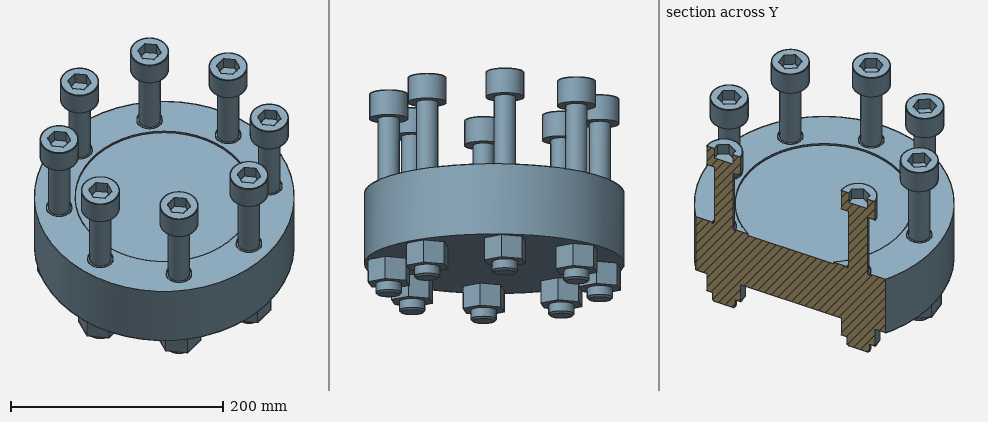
import cadquery as cq
import math

FLANGE_DIAMETER = 245.0
FLANGE_THICKNESS = 68.0
RECESS_DIAMETER = 168.0
RECESS_DEPTH = 2.0

BOLT_COUNT = 8
BOLT_CIRCLE_DIAMETER = 200.0

THREAD_DIAMETER = 24.0
SHANK_DIAMETER = 20.32
SCREW_LENGTH = 170.0
HEAD_DIAMETER = 1.5 * THREAD_DIAMETER
HEAD_HEIGHT = THREAD_DIAMETER
HEAD_CHAMFER = 0.5
SOCKET_ACROSS_FLATS = 19.0
SOCKET_DEPTH = HEAD_HEIGHT / 2
THREAD_CHAMFER = (THREAD_DIAMETER - SHANK_DIAMETER) / 2
TIP_PROJECTION = 32.0
THREAD_LENGTH = TIP_PROJECTION + FLANGE_THICKNESS

NUT_ACROSS_FLATS = 36.0
NUT_HEIGHT = 21.5

SCREW_TIP_Z = -TIP_PROJECTION
HEAD_BASE_Z = SCREW_TIP_Z + SCREW_LENGTH
HEAD_TOP_Z = HEAD_BASE_Z + HEAD_HEIGHT


def cylinder(diameter, bottom_z, height):
    """Solid cylinder on the Z axis."""
    return cq.Workplane("XY").workplane(offset=bottom_z).circle(diameter / 2).extrude(height)


def hexagon(across_flats, bottom_z, height):
    """Hexagonal prism with two flats facing +X and -X."""
    across_corners = across_flats / math.cos(math.radians(30))
    plane = cq.Workplane("XY").workplane(offset=bottom_z).transformed(rotate=(0, 0, 90))
    return plane.polygon(6, across_corners).extrude(height)


def place_on_bolt_circle(shape, index):
    """Move a shape to a bolt position without turning it."""
    angle = 2 * math.pi * index / BOLT_COUNT
    radius = BOLT_CIRCLE_DIAMETER / 2
    return shape.translate((radius * math.cos(angle), radius * math.sin(angle), 0))


def make_flange():
    """Disc with a shallow round recess in its top face and a ring of bolt holes."""
    disc = cylinder(FLANGE_DIAMETER, 0, FLANGE_THICKNESS)
    disc = disc.cut(cylinder(RECESS_DIAMETER, FLANGE_THICKNESS - RECESS_DEPTH, RECESS_DEPTH))
    hole = cylinder(THREAD_DIAMETER, 0, FLANGE_THICKNESS)
    for index in range(BOLT_COUNT):
        disc = disc.cut(place_on_bolt_circle(hole, index))
    return disc


def make_screw():
    """Cap screw on the Z axis: socketed head, slim shank and a thread chamfered at both ends."""
    head = cylinder(HEAD_DIAMETER, HEAD_BASE_Z, HEAD_HEIGHT)
    head = head.faces(">Z").edges().chamfer(HEAD_CHAMFER)
    head = head.cut(hexagon(SOCKET_ACROSS_FLATS, HEAD_TOP_Z - SOCKET_DEPTH, SOCKET_DEPTH))
    shank = cylinder(SHANK_DIAMETER, SCREW_TIP_Z, SCREW_LENGTH)
    thread = cylinder(THREAD_DIAMETER, SCREW_TIP_Z, THREAD_LENGTH)
    thread = thread.faces("<Z or >Z").edges().chamfer(THREAD_CHAMFER)
    return head.union(shank).union(thread)


def make_fastener():
    """Screw with its nut seated against the underside of the flange."""
    return make_screw().union(hexagon(NUT_ACROSS_FLATS, -NUT_HEIGHT, NUT_HEIGHT))


result = make_flange()
fastener = make_fastener()
for index in range(BOLT_COUNT):
    result = result.union(place_on_bolt_circle(fastener, index))